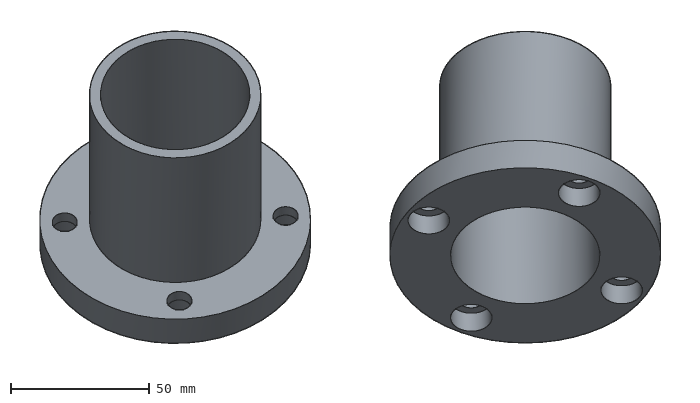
import cadquery as cq

flange_diameter = 98.0
flange_thickness = 13.0

total_height = 80.0
tube_diameter = 62.0
bore_diameter = 54.0

bolt_count = 4
bolt_circle_diameter = 80.0
bolt_hole_diameter = 9.0
first_bolt_angle = 45.0

counterbore_diameter = 15.0
seat_thickness = 4.5
counterbore_depth = flange_thickness - seat_thickness


def bolt_circle_cylinders(diameter, height):
    """Upright cylinders standing on the base plane at every bolt position."""
    return (
        cq.Workplane("XY")
        .polarArray(bolt_circle_diameter / 2, first_bolt_angle, 360, bolt_count)
        .circle(diameter / 2)
        .extrude(height)
    )


flange = cq.Workplane("XY").circle(flange_diameter / 2).extrude(flange_thickness)
tube = cq.Workplane("XY").circle(tube_diameter / 2).extrude(total_height)
bore = cq.Workplane("XY").circle(bore_diameter / 2).extrude(total_height)
bolt_holes = bolt_circle_cylinders(bolt_hole_diameter, flange_thickness)
counterbores = bolt_circle_cylinders(counterbore_diameter, counterbore_depth)

result = flange.union(tube).cut(bore).cut(bolt_holes).cut(counterbores)